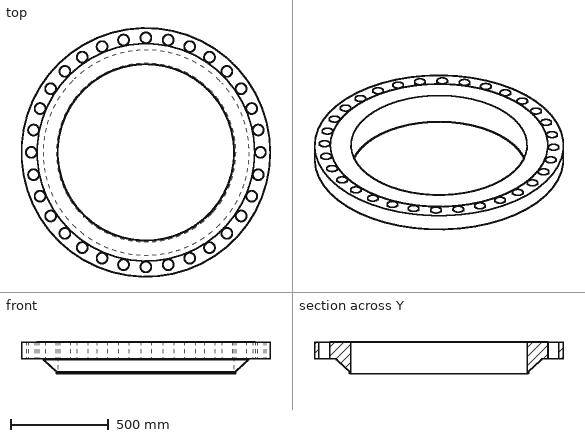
import cadquery as cq

flange_diameter = 1270.0
bore_diameter = 898.6
overall_height = 163.51

face_diameter = 1109.6
face_height = 1.6

plate_thickness = 85.7

hub_base_diameter = 1050.0
hub_rim_height = 3.0
hub_end_diameter = 914.4
hub_end_height = 11.0

weld_bevel = 4.0

bolt_count = 32
bolt_circle_diameter = 1168.4
bolt_hole_diameter = 54.2

plate_top = overall_height - face_height
plate_bottom = plate_top - plate_thickness


def flange_body():
    """Half section of the flange and neck, revolved about Z."""
    bore_radius = bore_diameter / 2
    flange_radius = flange_diameter / 2
    face_radius = face_diameter / 2
    hub_base_radius = hub_base_diameter / 2
    hub_end_radius = hub_end_diameter / 2
    section = [
        (bore_radius, 0),
        (hub_end_radius - weld_bevel, 0),
        (hub_end_radius, weld_bevel),
        (hub_end_radius, hub_end_height),
        (hub_base_radius, plate_bottom - hub_rim_height),
        (hub_base_radius, plate_bottom),
        (flange_radius, plate_bottom),
        (flange_radius, plate_top),
        (face_radius, plate_top),
        (face_radius, overall_height),
        (bore_radius, overall_height),
    ]
    return cq.Workplane("XZ").polyline(section).close().revolve(360, (0, 0), (0, 1))


def bolt_holes():
    """Ring of cylinders that cut the bolt holes through the plate."""
    return (
        cq.Workplane("XY")
        .workplane(offset=plate_bottom)
        .polarArray(bolt_circle_diameter / 2, 0, 360, bolt_count)
        .circle(bolt_hole_diameter / 2)
        .extrude(plate_thickness)
    )


result = flange_body().cut(bolt_holes())